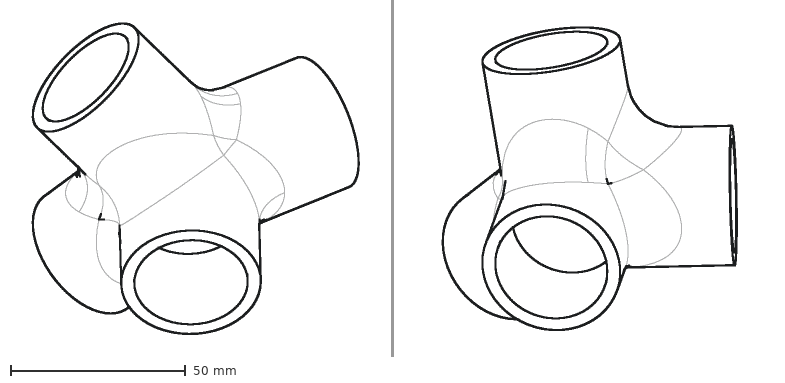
import cadquery as cq
import math

outer_diameter = 40.0
bore_diameter = 32.5
arm_length = 45.0
socket_depth = 30.1
blend_radius = 15
lean_angle = 30
spread_angles = (0, 120, 240)


def leaning_direction(spread):
    """Unit vector of a leaning arm at the given angle around Y."""
    lean = math.radians(lean_angle)
    turn = math.radians(spread)
    return cq.Vector(
        math.cos(lean) * math.cos(turn),
        -math.sin(lean),
        math.cos(lean) * math.sin(turn),
    )


def arm(direction):
    """Solid cylinder from the centre out to the open end."""
    return cq.Solid.makeCylinder(outer_diameter / 2, arm_length, cq.Vector(), direction)


def socket(direction):
    """Flat-bottomed bore entering from the open end."""
    mouth = direction * arm_length
    return cq.Solid.makeCylinder(bore_diameter / 2, socket_depth, mouth, direction * -1)


directions = [cq.Vector(0, 1, 0)] + [leaning_direction(s) for s in spread_angles]

body = cq.Workplane("XY")
for direction in directions:
    body = body.union(cq.Workplane(arm(direction)))

body = body.edges("(not %CIRCLE) and (not %LINE)").fillet(blend_radius)

for direction in directions:
    body = body.cut(cq.Workplane(socket(direction)))

result = body